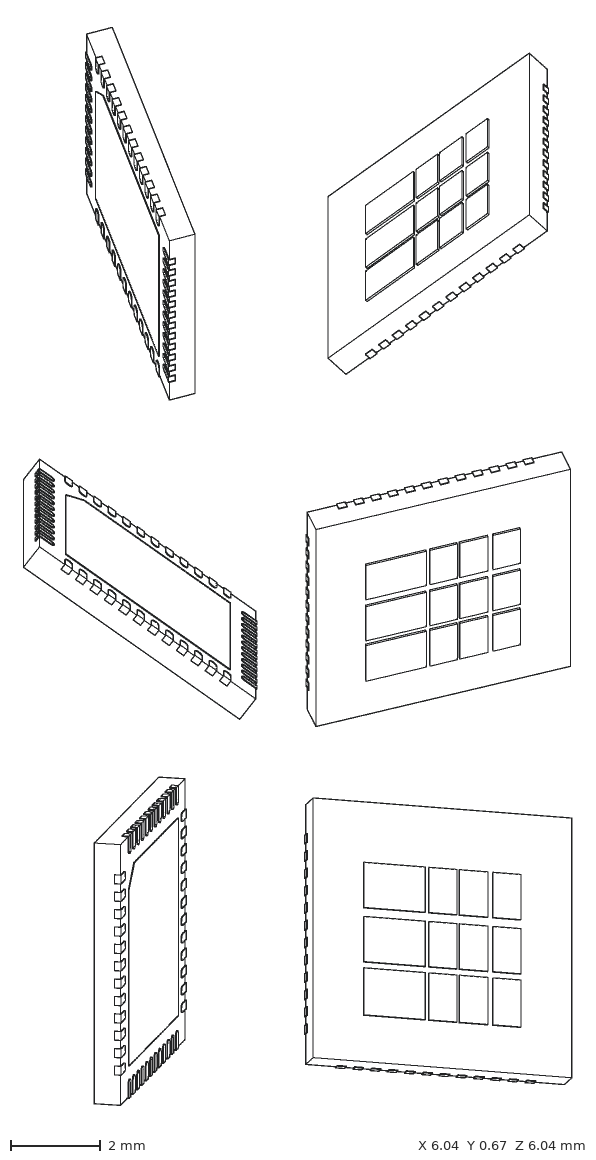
import cadquery as cq

overall_side = 6.04
lead_proud = 0.02
body_side = overall_side - 2 * lead_proud
overall_thickness = 0.67
marking_height = 0.05
body_thickness = overall_thickness - lead_proud - marking_height

leads_per_side = 12
lead_row_span = 4.4
lead_pitch = lead_row_span / (leads_per_side - 1)
lead_width = 0.205
lead_length = 0.42
lead_depth = 0.16

pad_side = 4.555
pad_corner_cut = 0.5

marking_rows = [(1.07, 1.045), (-0.18, 1.045), (-1.39, 1.09)]
marking_columns = [(-1.48, 0.64), (-0.705, 0.665), (0.005, 0.64), (1.125, 1.42)]

front_y = -overall_thickness / 2
body_front_y = front_y + lead_proud
body_back_y = body_front_y + body_thickness


def outline_plane(y):
    """Workplane for outlines in X and Z that are extruded toward +Y."""
    return cq.Workplane("XZ", origin=(0, y, 0))


def make_body():
    return outline_plane(body_front_y).rect(body_side, body_side).extrude(-body_thickness)


def make_lead(offset):
    """One lead on the +Z edge, with a round inner end."""
    half_width = lead_width / 2
    outer_z = overall_side / 2
    inner_z = outer_z - lead_length
    round_start_z = inner_z + half_width
    return (
        outline_plane(front_y)
        .moveTo(offset - half_width, outer_z)
        .lineTo(offset - half_width, round_start_z)
        .threePointArc((offset, inner_z), (offset + half_width, round_start_z))
        .lineTo(offset + half_width, outer_z)
        .close()
        .extrude(-lead_depth)
    )


def make_pad():
    """Exposed pad, its -X +Z corner cut at 45 degrees."""
    half = pad_side / 2
    cut = half - pad_corner_cut
    outline = [(-half, -half), (half, -half), (half, half), (-cut, half), (-half, cut)]
    return outline_plane(front_y).polyline(outline).close().extrude(-lead_proud)


def make_marking(x, width, z, height):
    return outline_plane(body_back_y).center(x, z).rect(width, height).extrude(-marking_height)


result = make_body().union(make_pad())

for index in range(leads_per_side):
    offset = index * lead_pitch - lead_row_span / 2
    lead = make_lead(offset)
    for angle in (0, 90, 180, 270):
        result = result.union(lead.rotate((0, 0, 0), (0, 1, 0), angle))

for z, height in marking_rows:
    for x, width in marking_columns:
        result = result.union(make_marking(x, width, z, height))